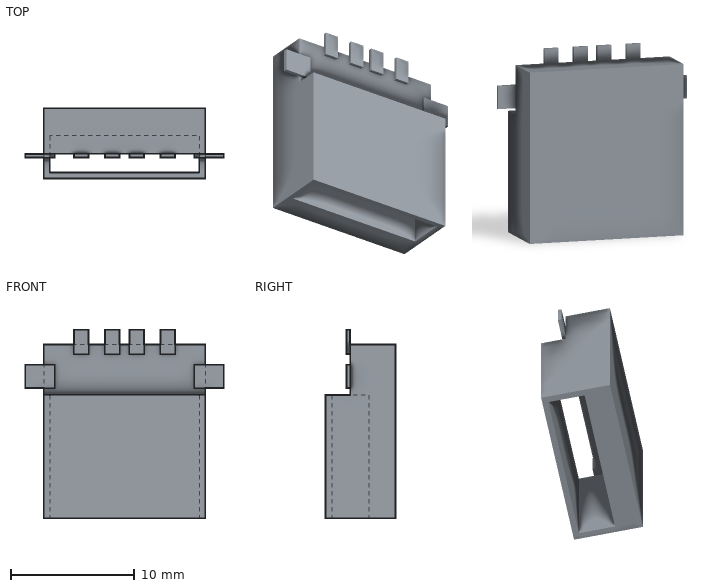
import cadquery as cq

body_width = 13.1
body_height = 14.1
block_depth = 3.7
shell_depth = 2.0
shell_height = 10.0
wall = 0.5
cavity_recess = 1.5

lead_thickness = 0.3

contact_width = 1.2
contact_bottom = 13.3
contact_top = 15.3
contact_centres = (-3.5, -1.0, 1.0, 3.5)

overall_width = 16.1
tab_width = 2.4
tab_bottom = 10.55
tab_height = 1.9


def box(width, depth, height, centre_x, min_y, min_z):
    """Box centred on centre_x, growing toward +Y and +Z from its minimum corner."""
    block = cq.Workplane("XY").box(width, depth, height, centered=(True, False, False))
    return block.translate((centre_x, min_y, min_z))


def make_body():
    """Tall rear block and lower front shell, with an open-ended cavity reaching back under the block."""
    block = box(body_width, block_depth, body_height, 0, 0, 0)
    shell = box(body_width, shell_depth, shell_height, 0, -shell_depth, 0)
    cavity_width = body_width - 2 * wall
    cavity_depth = shell_depth - wall + cavity_recess
    cavity = box(cavity_width, cavity_depth, shell_height, 0, wall - shell_depth, 0)
    return block.union(shell).cut(cavity)


def make_contact(centre_x):
    """Flat contact on the block's front face, standing above its top."""
    contact_height = contact_top - contact_bottom
    return box(contact_width, lead_thickness, contact_height, centre_x, -lead_thickness, contact_bottom)


def make_tab(side):
    """Mounting tab overhanging the block on the given side (-1 or 1)."""
    centre_x = side * (overall_width - tab_width) / 2
    return box(tab_width, lead_thickness, tab_height, centre_x, -lead_thickness, tab_bottom)


result = make_body()
for contact_centre in contact_centres:
    result = result.union(make_contact(contact_centre))
for tab_side in (-1, 1):
    result = result.union(make_tab(tab_side))